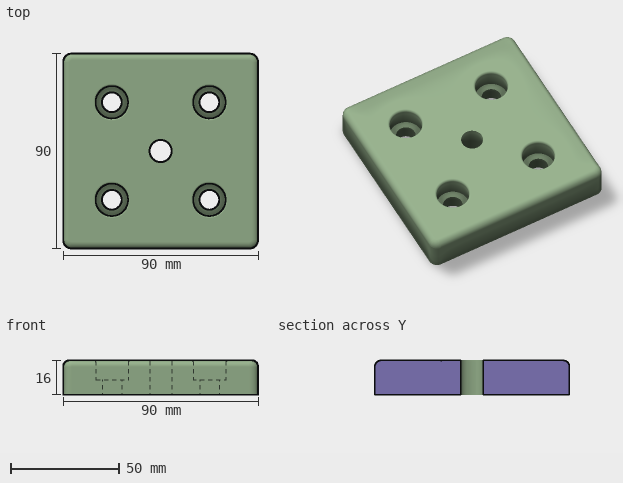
import cadquery as cq

plate_side = 90.0
plate_height = 16.0
corner_radius = 4.0
top_edge_radius = 3.0

hole_spacing = plate_side / 2
hole_diameter = 9.0
counterbore_diameter = 15.0
counterbore_depth = 9.0
mouth_round_radius = 1.0

center_hole_diameter = 10.11


def make_plate():
    """Square plate standing on Z = 0, with rounded corners and a rounded top edge."""
    plate = cq.Workplane("XY").rect(plate_side, plate_side).extrude(plate_height)
    plate = plate.edges("|Z").fillet(corner_radius)
    return plate.faces(">Z").edges().fillet(top_edge_radius)


def make_mounting_hole_cutter():
    """Solid of revolution about Z: through hole, counterbore and rounded mouth."""
    hole_radius = hole_diameter / 2
    counterbore_radius = counterbore_diameter / 2
    mouth_radius = counterbore_radius + mouth_round_radius
    counterbore_floor = plate_height - counterbore_depth
    profile = (
        cq.Workplane("XZ")
        .lineTo(hole_radius, 0)
        .lineTo(hole_radius, counterbore_floor)
        .lineTo(counterbore_radius, counterbore_floor)
        .lineTo(counterbore_radius, plate_height - mouth_round_radius)
        .radiusArc((mouth_radius, plate_height), mouth_round_radius)
        .lineTo(0, plate_height)
        .close()
    )
    return profile.revolve(360, (0, 0, 0), (0, 1, 0))


def cut_mounting_holes(body):
    """Cut one mounting hole at each corner of the square pattern."""
    cutter = make_mounting_hole_cutter()
    offset = hole_spacing / 2
    for x in (-offset, offset):
        for y in (-offset, offset):
            body = body.cut(cutter.translate((x, y, 0)))
    return body


def cut_center_hole(body):
    """Cut the plain through hole in the middle of the plate."""
    cutter = cq.Workplane("XY").circle(center_hole_diameter / 2).extrude(plate_height)
    return body.cut(cutter)


result = cut_center_hole(cut_mounting_holes(make_plate()))